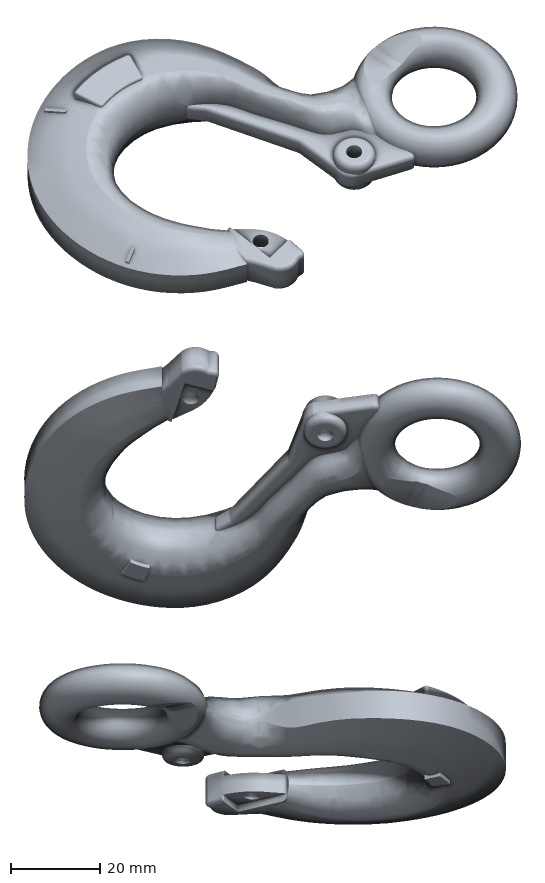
import cadquery as cq
import math


QUARTER_ARC_PULL = 0.5523

eye_y = 59.6
eye_tube_radius = 4.6
eye_ring_radius = 14.1
valley_angle = 210
valley_half_thickness = 2.6
valley_flat_width = 2.2
valley_half_width = 10.7
valley_edge_height = 5.2

throat_radius = 15.7
back_radius = 34.0
back_centre = (-2.6, -0.3)
band_half_height = 3.3
hook_crest = 0.68
hook_pulls = ((0.35, 0.46), (0.66, 0.92))

neck_band = 0.6
neck_crest = 0.55
neck_pulls = ((0.0, 0.55), (0.45, 1.0))

corner_round = 1.1
edge_round = 1.0

pin_hole_radius = 1.8
lug_centre = (11.2, 36.2)
lug_radius = 4.7
lug_half_height = 4.4
lug_round = 1.5
web_half_thickness = 2.4

tip_hole_centre = (25.9, 8.3)
tip_half_height = 3.8
tip_seat_half_height = 2.2

pad_top = 8.8
pad_base = 5.6
pad_corner_round = 0.7
pad_round = 0.6
mark_width = 0.8
mark_depth = 1.7


def round_plate(plate):
    """Round the upright corners of a flat plate and then the rims of both its faces."""
    return plate.edges("|Z").fillet(corner_round).faces("<Z or >Z").edges().fillet(edge_round)


def polar(radius, angle, centre=(0, 0)):
    turn = math.radians(angle)
    return (centre[0] + radius * math.cos(turn), centre[1] + radius * math.sin(turn))


def body_section(back, throat, half_height, band, crest, pulls):
    """Closed wire standing on the line from back to throat.

    band is the half height of the flat back, and crest is the fraction of the width
    where the section is thickest. Each flank is a Bezier curve from band to crest, and
    pulls are its two inner poles as fractions of its run and of its rise. The throat
    side is half an ellipse.
    """
    width = math.dist(back, throat)
    across = (throat[0] - back[0], throat[1] - back[1], 0)
    plane = cq.Plane(origin=(*back, 0), xDir=across, normal=(across[1], -across[0], 0))
    crest_x = crest * width
    nose_pull_x = crest_x + QUARTER_ARC_PULL * (width - crest_x)
    nose_pull_z = QUARTER_ARC_PULL * half_height
    rise = half_height - band
    flank = [(run * crest_x, band + climb * rise) for run, climb in pulls]
    flank = [(0, band), *flank, (crest_x, half_height)]
    nose = [(crest_x, half_height), (nose_pull_x, half_height), (width, nose_pull_z), (width, 0)]
    upper = flank, nose
    lower = [[(x, -z) for x, z in reversed(curve)] for curve in reversed(upper)]
    wire = cq.Workplane(plane).moveTo(0, -band).lineTo(0, band)
    for curve in (*upper, *lower):
        wire = wire.bezier(curve)
    return wire.wire().val()


def neck_section(back, throat, half_height):
    return body_section(back, throat, half_height, neck_band, neck_crest, neck_pulls)


def hook_section(back, throat, half_height):
    return body_section(back, throat, half_height, band_half_height, hook_crest, hook_pulls)


def bowl_section(angle, half_height):
    back = polar(back_radius, angle, back_centre)
    return hook_section(back, polar(throat_radius, angle), half_height)


def make_body():
    sections = [
        neck_section((-11.2, 46.1), (8.4, 43.8), 4.4),
        neck_section((-9.5, 41.8), (5.6, 40.0), 5.0),
        neck_section((-8.3, 37.1), (4.0, 36.2), 6.3),
        neck_section((-8.8, 33.2), (3.1, 32.1), 6.6),
        neck_section((-10.7, 29.8), (-0.9, 27.3), 7.0),
        hook_section((-16.4, 25.9), (-7.6, 19.8), 7.3),
        hook_section((-22.8, 21.8), (-12.1, 15.1), 7.6),
        hook_section((-31.0, 14.1), (-15.1, 7.9), 8.0),
        bowl_section(180, 8.1),
        bowl_section(225, 8.1),
        bowl_section(270, 7.6),
        bowl_section(325, 6.5),
        hook_section((31.0, -5.6), (17.1, -3.3), 5.4),
        hook_section((31.6, 2.8), (19.8, 2.5), 3.9),
    ]
    return cq.Workplane(cq.Solid.makeLoft(sections))


def make_eye():
    ring = (
        cq.Workplane("YZ", origin=(0, eye_y, 0))
        .moveTo(eye_ring_radius, eye_tube_radius)
        .threePointArc((eye_ring_radius + eye_tube_radius, 0), (eye_ring_radius, -eye_tube_radius))
        .threePointArc((eye_ring_radius - eye_tube_radius, 0), (eye_ring_radius, eye_tube_radius))
        .close()
        .revolve(360, (0, 0, 0), (0, 1, 0), clean=False)
    )
    valley_plane = cq.Plane(
        origin=(0, eye_y, 0),
        xDir=(*polar(1, valley_angle + 90), 0),
        normal=(*polar(1, valley_angle), 0),
    )
    half_flat = valley_flat_width / 2
    valley = (
        cq.Workplane(valley_plane)
        .moveTo(-half_flat, valley_half_thickness)
        .lineTo(half_flat, valley_half_thickness)
        .lineTo(valley_half_width, valley_edge_height)
        .lineTo(-valley_half_width, valley_edge_height)
        .close()
        .extrude(eye_ring_radius + 2 * eye_tube_radius)
    )
    return ring.cut(valley, clean=False).cut(valley.mirror("XY"), clean=False)


def make_web():
    web = (
        cq.Workplane("XY")
        .workplane(offset=-web_half_thickness)
        .moveTo(12.4, 48.4)
        .lineTo(16.1, 49.6)
        .lineTo(16.1, 34.3)
        .threePointArc((15.1, 32.5), (12.9, 31.3))
        .lineTo(2.8, 26.2)
        .lineTo(-13.0, 10.0)
        .lineTo(-15.1, 6.2)
        .lineTo(-17.4, 6.2)
        .lineTo(-19.1, 13.5)
        .lineTo(0, 33.7)
        .lineTo(3.4, 46.1)
        .close()
        .extrude(2 * web_half_thickness)
    )
    web = round_plate(web)
    lug = (
        cq.Workplane("XY", origin=(*lug_centre, -lug_half_height))
        .circle(lug_radius)
        .extrude(2 * lug_half_height)
        .faces("<Z or >Z")
        .edges()
        .fillet(lug_round)
    )
    return web.union(lug)


def make_tip():
    tip = (
        cq.Workplane("XY")
        .workplane(offset=-tip_half_height)
        .moveTo(23.1, 1.1)
        .lineTo(20.0, 2.7)
        .lineTo(21.6, 6.6)
        .threePointArc((24.2, 11.2), (28.8, 14.5))
        .lineTo(32.6, 16.0)
        .lineTo(33.9, 15.9)
        .lineTo(34.4, 14.1)
        .threePointArc((36.2, 10.7), (35.5, 8.0))
        .lineTo(32.3, 4.3)
        .lineTo(30.9, 2.5)
        .lineTo(27.0, 1.1)
        .close()
        .extrude(2 * tip_half_height)
    )
    return round_plate(tip)


def make_tip_seat():
    """Cutter for the flat latch seat on the upper face of the tip."""
    return (
        cq.Workplane("XY")
        .workplane(offset=tip_seat_half_height)
        .polyline([(28.8, 14.0), (32.2, 8.1), (19.8, 2.5), (15.7, 3.4), (21.4, 16.9), (28.8, 16.9)])
        .close()
        .extrude(2 * tip_half_height)
    )


def ring_sector(inner, outer, start, end, bottom, top):
    middle = (start + end) / 2
    return (
        cq.Workplane("XY")
        .workplane(offset=bottom)
        .moveTo(*polar(inner, start))
        .lineTo(*polar(outer, start))
        .threePointArc(polar(outer, middle), polar(outer, end))
        .lineTo(*polar(inner, end))
        .threePointArc(polar(inner, middle), polar(inner, start))
        .close()
        .extrude(top - bottom)
    )


def index_mark(angle, inner, inner_top, outer, outer_top):
    """Thin radial rib that follows the slope of the upper flank."""
    return (
        cq.Workplane("XZ")
        .polyline([
            (inner, inner_top),
            (outer, outer_top),
            (outer, outer_top - mark_depth),
            (inner, inner_top - mark_depth),
        ])
        .close()
        .extrude(mark_width / 2, both=True)
        .rotate((0, 0, 0), (0, 0, 1), angle)
    )


def pin_hole(centre):
    return (
        cq.Workplane("XY", origin=(*centre, -pad_top))
        .circle(pin_hole_radius)
        .extrude(2 * pad_top)
    )


upper_pad = ring_sector(21.9, 29.5, 184, 217, pad_base, pad_top)
upper_pad = upper_pad.edges("|Z").fillet(pad_corner_round).faces(">Z").edges().fillet(pad_round)
lower_pad = ring_sector(20.1, 24.2, 207, 220, -pad_top, -pad_base)

tip_seat = make_tip_seat()
additions = [
    make_web(),
    make_eye(),
    make_tip().cut(tip_seat).cut(tip_seat.mirror("XY")),
    upper_pad,
    lower_pad,
    index_mark(225, 29.0, 7.0, 34.3, 4.7),
    index_mark(315, 28.2, 5.7, 31.4, 4.3),
]

result = make_body()
for addition in additions:
    result = result.union(addition, clean=False)
for cutter in (tip_seat, tip_seat.mirror("XY"), pin_hole(lug_centre), pin_hole(tip_hole_centre)):
    result = result.cut(cutter, clean=False)